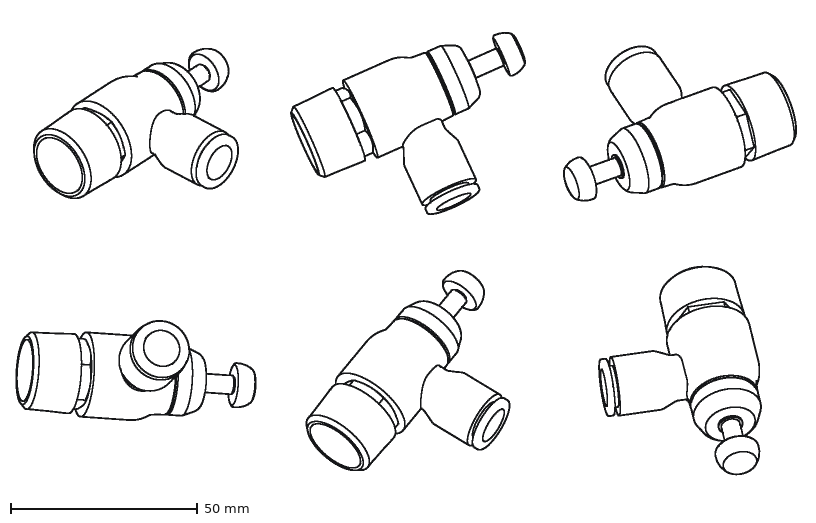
import cadquery as cq
import math


body_radius = 11.4
body_bottom_y = -13.5
body_shoulder_y = 0.0
body_curve_change_y = 4.83
body_curve_change_radius = 9.97
body_neck_y = 6.4
body_neck_radius = 9.5
body_top_radius = 9.3
body_top_y = 10.0
body_top_chamfer = 0.35

cap_gap = 0.4
cap_bottom_y = body_top_y + cap_gap
cap_radius = 9.25
cap_straight_y = 14.35
cap_taper_y = 17.45
cap_taper_radius = 8.0
cap_top_y = 18.85
cap_top_radius = 6.8

collar_radius = 3.3
collar_top_y = 19.3
stem_radius = 2.55
stem_top_y = 27.7
stem_neck_radius = 2.2

knob_bottom_y = 28.1
knob_bottom_radius = 5.4
knob_bevel_y = 28.3
knob_bevel_radius = 5.75
knob_rim_y = 28.75
knob_rim_radius = 5.97
knob_shoulder_y = 32.95
knob_shoulder_radius = 4.6
knob_top_y = 33.5
knob_top_radius = 3.4
knob_side_bulge = 0.42
knob_corner_bulge = 0.08

hex_across_flats = 17.0
hex_across_corners = hex_across_flats / math.cos(math.radians(30))
hex_chamfer_angle = 30.0

thread_start_y = -16.9
thread_collar_y = -17.9
thread_collar_radius = 10.73
thread_taper_y = -24.75
thread_taper_radius = 10.46
thread_end_y = -28.6
thread_end_radius = 10.4
thread_tip_y = -29.8
thread_tip_radius = 9.2
bore_radius = 8.3
bore_floor_y = 0.0

port_neck_radius = 6.2
port_neck_x = 11.85
port_cone_start_x = 12.4
port_cone_end_x = 15.9
port_sleeve_x = 16.45
port_sleeve_radius = 8.0
port_sleeve_end_x = 28.05
port_blend_step = 0.15
release_ring_neck_radius = 5.65
release_ring_start_x = 29.35
release_ring_end_x = 31.0
release_ring_radius = 7.75
release_ring_fillet = 0.35
port_bore_radius = 5.0


def spin_about_y(profile):
    return profile.close().revolve(360, (0, 0, 0), (0, 1, 0))


def make_body():
    profile = (
        cq.Workplane("XY")
        .moveTo(0, body_bottom_y)
        .lineTo(body_radius, body_bottom_y)
        .lineTo(body_radius, body_shoulder_y)
        .tangentArcPoint((body_curve_change_radius, body_curve_change_y), relative=False)
        .tangentArcPoint((body_neck_radius, body_neck_y), relative=False)
        .lineTo(body_top_radius, body_top_y - body_top_chamfer)
        .lineTo(body_top_radius - body_top_chamfer, body_top_y)
        .lineTo(0, body_top_y)
    )
    return spin_about_y(profile)


def make_cap_and_stem():
    profile = (
        cq.Workplane("XY")
        .moveTo(0, body_top_y)
        .lineTo(collar_radius, body_top_y)
        .lineTo(collar_radius, cap_bottom_y)
        .lineTo(cap_radius, cap_bottom_y)
        .lineTo(cap_radius, cap_straight_y)
        .lineTo(cap_taper_radius, cap_taper_y)
        .tangentArcPoint((cap_top_radius, cap_top_y), relative=False)
        .lineTo(collar_radius, cap_top_y)
        .lineTo(collar_radius, collar_top_y)
        .lineTo(stem_radius, collar_top_y)
        .lineTo(stem_radius, stem_top_y)
        .lineTo(stem_neck_radius, stem_top_y)
        .lineTo(stem_neck_radius, knob_bottom_y)
        .lineTo(0, knob_bottom_y)
    )
    return spin_about_y(profile)


def make_knob():
    profile = (
        cq.Workplane("XY")
        .moveTo(0, knob_bottom_y)
        .lineTo(knob_bottom_radius, knob_bottom_y)
        .lineTo(knob_bevel_radius, knob_bevel_y)
        .sagittaArc((knob_rim_radius, knob_rim_y), -knob_corner_bulge)
        .sagittaArc((knob_shoulder_radius, knob_shoulder_y), -knob_side_bulge)
        .sagittaArc((knob_top_radius, knob_top_y), -knob_corner_bulge)
        .lineTo(0, knob_top_y)
    )
    return spin_about_y(profile)


def make_hexagon():
    length = body_bottom_y - thread_start_y
    prism = (
        cq.Workplane("XZ", origin=(0, body_bottom_y, 0))
        .polygon(6, hex_across_corners)
        .extrude(length)
    )
    flat_radius = hex_across_flats / 2
    corner_radius = hex_across_corners / 2
    chamfer_drop = (corner_radius - flat_radius) * math.tan(math.radians(hex_chamfer_angle))
    envelope = (
        cq.Workplane("XY")
        .moveTo(0, body_bottom_y)
        .lineTo(flat_radius, body_bottom_y)
        .lineTo(corner_radius, body_bottom_y - chamfer_drop)
        .lineTo(corner_radius, thread_start_y)
        .lineTo(0, thread_start_y)
    )
    return prism.intersect(spin_about_y(envelope))


def make_thread():
    profile = (
        cq.Workplane("XY")
        .moveTo(0, thread_start_y)
        .lineTo(thread_collar_radius, thread_start_y)
        .lineTo(thread_collar_radius, thread_collar_y)
        .lineTo(thread_taper_radius, thread_taper_y)
        .lineTo(thread_end_radius, thread_end_y)
        .lineTo(thread_tip_radius, thread_tip_y)
        .lineTo(0, thread_tip_y)
    )
    return spin_about_y(profile)


def make_port():
    profile = (
        cq.Workplane("XY")
        .moveTo(0, 0)
        .lineTo(0, port_neck_radius)
        .lineTo(port_neck_x, port_neck_radius)
        .lineTo(port_cone_start_x, port_neck_radius + port_blend_step)
        .lineTo(port_cone_end_x, port_sleeve_radius - port_blend_step)
        .lineTo(port_sleeve_x, port_sleeve_radius)
        .lineTo(port_sleeve_end_x, port_sleeve_radius)
        .lineTo(port_sleeve_end_x, release_ring_neck_radius)
        .lineTo(release_ring_start_x, release_ring_neck_radius)
        .lineTo(release_ring_start_x, 0)
        .close()
    )
    port = profile.revolve(360, (0, 0, 0), (1, 0, 0))
    release_ring = (
        cq.Workplane("YZ", origin=(release_ring_start_x, 0, 0))
        .circle(release_ring_radius)
        .extrude(release_ring_end_x - release_ring_start_x)
        .edges()
        .fillet(release_ring_fillet)
    )
    return port.union(release_ring)


def make_inlet_bore():
    return (
        cq.Workplane("XZ", origin=(0, bore_floor_y, 0))
        .circle(bore_radius)
        .extrude(bore_floor_y - thread_tip_y)
    )


def make_port_bore():
    passage = cq.Workplane("YZ").circle(port_bore_radius).extrude(release_ring_end_x)
    return passage.union(cq.Workplane("XY").sphere(port_bore_radius))


fitting = make_body()
for piece in (make_cap_and_stem(), make_knob(), make_hexagon(), make_thread(), make_port()):
    fitting = fitting.union(piece)

result = fitting.cut(make_inlet_bore()).cut(make_port_bore())